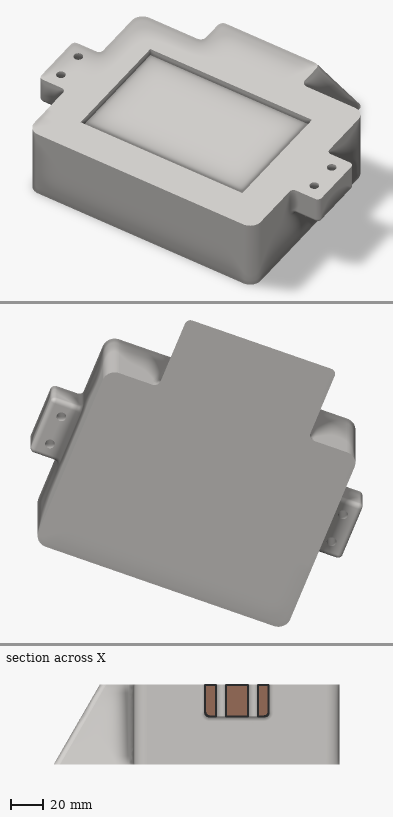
import cadquery as cq
import math

overall_width = 208.0
height = 50.0
tab_reach = 20.0
block_width = overall_width - 2 * tab_reach
block_depth = 128.0
block_corner_radius = 8.0
block_back = block_depth / 2

hood_reach = 50.1
hood_base_width = 100.0
hood_back_angle = 30.0
hood_side_angle = 15.0
hood_fillet = 4.0

tab_length = 40.0
tab_height = 20.0
tab_fillet = 3.0
hole_diameter = 6.0
hole_spacing = 20.0
hole_x = (block_width + tab_reach) / 2

window_width = 120.0
window_depth = 80.0
panel_recess = 5.0
panel_thickness = 5.0
panel_bottom = height - panel_recess - panel_thickness

pick_margin = 1.0


def make_block():
    block = cq.Workplane("XY").box(block_width, block_depth, height, centered=(True, True, False))
    return block.edges("|Z").fillet(block_corner_radius)


def hood_section(half_width, reach, z):
    """Rectangular wire across the hood, starting inside the block."""
    root = block_back - block_corner_radius
    tip = block_back + reach
    corners = [(-half_width, root), (half_width, root), (half_width, tip), (-half_width, tip)]
    return cq.Wire.makePolygon([cq.Vector(x, y, z) for x, y in corners], close=True)


def make_hood():
    """Hood with a sloped back and sides, rounded where the slopes meet."""
    base_half = hood_base_width / 2
    top_half = base_half - height * math.tan(math.radians(hood_side_angle))
    top_reach = hood_reach - height * math.tan(math.radians(hood_back_angle))
    sections = [hood_section(base_half, hood_reach, 0), hood_section(top_half, top_reach, height)]
    hood = cq.Workplane(cq.Solid.makeLoft(sections, True))
    back_corners = hood.faces(">Y").edges("not #Z")
    return back_corners.fillet(hood_fillet)


def make_tab(side):
    """Tab on the +X (side = 1) or -X (side = -1) wall, reaching into the block."""
    inner_x = block_width / 2 - block_corner_radius
    length_x = overall_width / 2 - inner_x
    tab = (
        cq.Workplane("XY")
        .box(length_x, tab_length, tab_height)
        .translate((side * (inner_x + length_x / 2), 0, height - tab_height / 2))
    )
    outer_face = ">X" if side > 0 else "<X"
    inner_face = "<X" if side > 0 else ">X"
    tab = tab.faces(outer_face).edges("|Z").fillet(tab_fillet)
    return tab.faces("<Z").edges("not " + inner_face).fillet(tab_fillet)



def blend_junctions(housing):
    """Round the inside corners where the hood and the tabs leave the block."""
    def around(x, y, z, half_x, half_y, half_z):
        return cq.selectors.BoxSelector(
            (x - half_x, y - half_y, z - half_z), (x + half_x, y + half_y, z + half_z)
        )

    hood_zone = around(0, block_back, height / 2, hood_base_width / 2, pick_margin, height / 2 - pick_margin)
    housing = housing.edges(hood_zone).fillet(hood_fillet)
    for side in (-1, 1):
        tab_zone = around(
            side * block_width / 2,
            0,
            height - tab_height / 2 - pick_margin,
            pick_margin / 2,
            tab_length / 2 + pick_margin,
            tab_height / 2,
        )
        housing = housing.edges(tab_zone).fillet(tab_fillet)
    return housing


def window_block(bottom, thickness):
    """Rectangular block filling the window outline upward from the given Z."""
    return (
        cq.Workplane("XY")
        .workplane(offset=bottom)
        .rect(window_width, window_depth)
        .extrude(thickness)
    )


def make_housing():
    housing = make_block().union(make_hood())
    for side in (-1, 1):
        housing = housing.union(make_tab(side))
    housing = blend_junctions(housing)

    hole_centres = [(sx * hole_x, sy * hole_spacing / 2) for sx in (-1, 1) for sy in (-1, 1)]
    holes = cq.Workplane("XY").pushPoints(hole_centres).circle(hole_diameter / 2).extrude(height)

    window = window_block(panel_bottom, height - panel_bottom)
    return housing.cut(holes).cut(window)


def make_panel():
    return window_block(panel_bottom, panel_thickness)


housing = make_housing()
panel = make_panel()

result = cq.Compound.makeCompound([housing.val(), panel.val()])